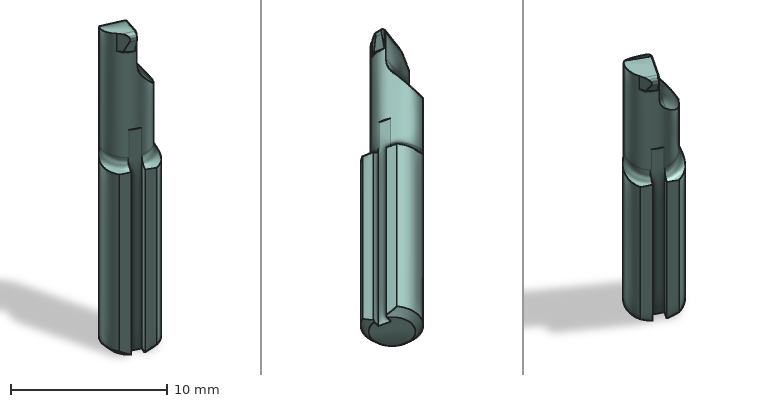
import cadquery as cq
import math

length = 24.0
shank_radius = 2.005
flat_x = 1.548
end_chamfer = 0.5

neck_axis_x = -0.82
neck_radius = 1.8
neck_floor_z = 13.8
neck_fillet = 0.8

groove_width = 0.94
groove_floor_x = 0.94
groove_top_z = 16.63

face_y = 0.12
flank_bottom_y = 1.78
flank_bottom_z = 18.98
flank_angle = 40.4
flank_fillet = 1.7

back_bevel_z = 22.6
bevel_top_x = neck_axis_x
bevel_top_z = 23.78
nose_x = 1.5
nose_z = 24.07
nose_radius = 0.35
nose_bottom_x = neck_axis_x + neck_radius
nose_bottom_z = 22.5
relief_x = 0.14
relief_z = 0.135
nose_heel_x = 0.6
nose_heel_y = -1.13
rake_height = 0.25
rake_depth = 0.1

clear = 4.8


def make_shank():
    """Chamfered round bar with one side flat."""
    bar = cq.Workplane("XY").circle(shank_radius).extrude(length + clear)
    bar = bar.faces("<Z").chamfer(end_chamfer)
    flat = cq.Workplane("XY").box(clear, 2 * clear, length + clear, centered=(False, True, False))
    return bar.cut(flat.translate((flat_x, 0, 0)))


def neck_cutter():
    """Half ring on the +X side with a rounded foot."""
    foot_start_z = neck_floor_z + neck_fillet
    arc_offset = neck_fillet * (1 - math.sqrt(0.5))
    half_ring = (
        cq.Workplane("XZ")
        .moveTo(neck_radius, length + 2 * clear)
        .lineTo(neck_radius, foot_start_z)
        .threePointArc(
            (neck_radius + arc_offset, neck_floor_z + arc_offset),
            (neck_radius + neck_fillet, neck_floor_z),
        )
        .lineTo(neck_radius + clear, neck_floor_z)
        .lineTo(neck_radius + clear, length + 2 * clear)
        .close()
        .revolve(180, (0, 0, 0), (0, 1, 0))
    )
    return half_ring.rotate((0, 0, 0), (0, 0, 1), -90).translate((neck_axis_x, 0, 0))


def groove_cutter():
    groove = cq.Workplane("XY").box(clear, groove_width, groove_top_z, centered=(False, True, False))
    return groove.translate((groove_floor_x, 0, 0))


def nose_stock():
    """Block beside the neck, with a 45 degree heel, from which the nose is formed."""
    outer_x = nose_heel_x - nose_heel_y
    return (
        cq.Workplane("XY", origin=(0, 0, nose_bottom_z))
        .polyline([(0, 0), (outer_x, 0), (nose_heel_x, nose_heel_y), (0, nose_heel_y)])
        .close()
        .extrude(clear)
    )


def flank_cutter():
    """Upright face blended into a sloping run-out towards +Y."""
    slope = 1 / math.tan(math.radians(flank_angle))
    corner_z = flank_bottom_z + (flank_bottom_y - face_y) * slope
    outer_z = corner_z - clear * slope
    cutter = (
        cq.Workplane("YZ", origin=(-clear, 0, 0))
        .polyline([
            (face_y, length + 2 * clear),
            (face_y, corner_z),
            (face_y + clear, outer_z),
            (face_y + clear, length + 2 * clear),
        ])
        .close()
        .extrude(2 * clear)
    )
    corner = cq.selectors.NearestToPointSelector((0, face_y, corner_z))
    return cutter.edges(corner).fillet(flank_fillet)


def head_envelope():
    """Head outline extruded along a slanted direction, which gives the relief angles."""
    bevel_slope = (bevel_top_z - back_bevel_z) / (bevel_top_x + shank_radius)
    far_x = 2 * clear
    outline = [
        (-far_x, bevel_top_z - bevel_slope * (far_x + bevel_top_x)),
        (bevel_top_x, bevel_top_z),
        (nose_x, nose_z),
        (nose_bottom_x, nose_bottom_z),
        (far_x, nose_bottom_z),
        (far_x, -clear),
        (-far_x, -clear),
    ]
    start = cq.Vector(relief_x * clear, clear, relief_z * clear)
    points = [cq.Vector(x, 0, z) + start for x, z in outline]
    wire = cq.Wire.makePolygon(points, close=True)
    prism = cq.Workplane(cq.Solid.extrudeLinear(wire, [], start * -2))
    nose = cq.selectors.NearestToPointSelector((nose_x, 0, nose_z))
    return prism.edges(nose).fillet(nose_radius)


def rake_cutter():
    """Shallow wedge along the cutting edge, parallel to the sloping top."""
    top_angle = math.degrees(math.atan2(nose_z - bevel_top_z, nose_x - bevel_top_x))
    wedge = (
        cq.Workplane("YZ", origin=(-clear, 0, 0))
        .polyline([(face_y, -rake_height), (face_y - rake_depth, 0), (face_y - rake_depth, 0.25), (face_y, 0.25)])
        .close()
        .extrude(2 * clear)
    )
    return wedge.rotate((0, 0, 0), (0, 1, 0), -top_angle).translate((bevel_top_x, 0, bevel_top_z))


result = (
    make_shank()
    .cut(neck_cutter())
    .cut(groove_cutter())
    .union(nose_stock())
    .cut(flank_cutter())
    .intersect(head_envelope())
    .cut(rake_cutter())
)